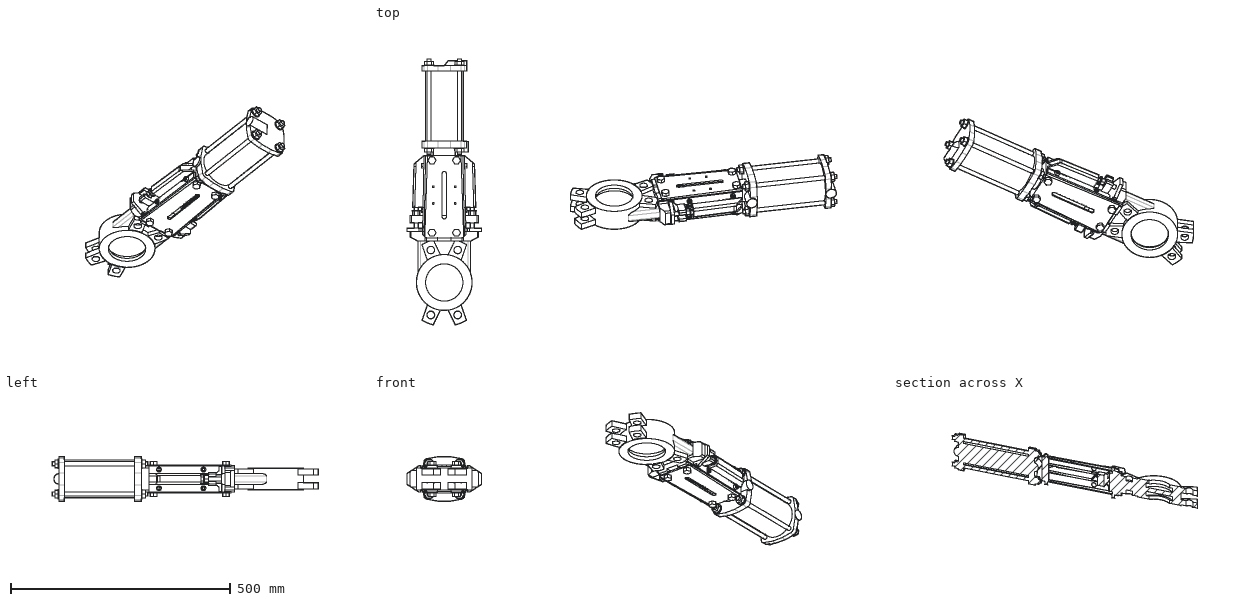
import cadquery as cq
import math


ring_radius = 64.0
ring_half_height = 25.0
bore_diameter = 85
seat_groove_diameter = 94.0
seat_groove_half_height = 16.0
gate_half_thickness = 6.0
lug_end_radius = 100.0
lug_bolt_radius = 80.0
lug_angle = 22.5
lug_inner_half_width = 16.5
lug_outer_half_width = 14.0
lug_outer_z = 23.0
lug_inner_z = 8.5
lug_hole_diameter = 17.0

neck_half_width = 60.0
neck_half_height = 13.0
neck_edge_fillet = 6.0

bonnet_bottom = 94.0
bonnet_top = 116.0
bonnet_half_width = 78.0
bonnet_half_height = 30.5
shoulder_half_height = 19.0
bonnet_chamfer_height = 10.0
flange_top = 124.0
flange_half_width = 85
saddle_half_height = 25.0
gland_bottom = 136.0
gland_top = 153.0
gland_half_height = 15.0
gland_edge_chamfer = 3.5
gland_slot_width = 11.0
gland_slot_end = 57.0
boss_width = 24.0

plate_bottom = 102.0
plate_top = 289.5
plate_outer_z = 32.0
plate_thickness = 3.5
plate_flat_top = 38.0
plate_flat_bottom = 44.0
plate_half_width_top = 46.0
plate_half_width_bottom = 50.0
bend_height = 2.5
skirt_inner_z = 12.0
skirt_bottom = 129.0
skirt_corner_cut = 7.0
plate_corner_cut = 8.0
plate_bolt_x = 28.0
plate_bolt_flats = 16.0
plate_bolt_height = 8.0
upper_bolt_y = 278.5
lower_bolt_y = 113.5
slot_width = 10.0
slot_bottom = 145.0
slot_top = 253.0
pin_hole_diameter = 4.1
pin_hole_x = 25.0
pin_hole_rows = (180.0, 218.5)
yoke_block_height = 17.0
yoke_block_half_width = 38.0

guard_bottom = 171.0
guard_shoulder = 270.0
guard_width_bottom = 72.0
guard_width_top = 69.0
guard_inner = 44.0
guard_thickness = 5.5
guard_edge_chamfer = 5.0
guard_screw_diameter = 11.0
guard_screw_socket = 5.5
guard_screw_socket_depth = 2.5
guard_screw_reach = 52.0
guard_screw_z = 21.0
guard_screw_rows = (165.0, 266.5)

stud_x = 64.0
stud_diameter = 10.0
stud_washer_diameter = 20.0
stud_washer_bottom = 162.5
stud_washer_thickness = 2.0
stud_nut_flats = 14.5

rod_diameter = 20.0
tube_diameter = 87.0
front_cap_bottom = 306.5
front_cap_top = 322.0
rear_cap_bottom = 482.0
rear_cap_top = 494.5
cap_half_width = 51.0
cap_face_half = 14.0
cap_corner_start = 37.5
cap_corner_reach = 47.0
hub_diameter = 51.0
hub_bottom = plate_top
tie_rod_offset = 34.5
tie_rod_diameter = 10.0
tie_rod_bottom = 292.0
tie_nut_flats = 18.0
tie_nut_height = 8.0
tie_washer_diameter = 22.0
tie_washer_thickness = 1.5
port_boss_radius = 12.0
rear_port_reach = 51.5
front_port_reach = 55.0
front_port_y = 309.5
port_boss_slope = 9.0

overall_length = 607.0
lug_corner_angle = lug_angle - math.degrees(math.asin(lug_outer_half_width / lug_end_radius))
lug_tip = lug_end_radius * math.cos(math.radians(lug_corner_angle))
tie_rod_top = overall_length - lug_tip

SIDES = (-1, 1)


def box(x0, x1, y0, y1, z0, z1):
    return cq.Workplane("XY").box(x1 - x0, y1 - y0, z1 - z0, centered=False).translate((x0, y0, z0))


def y_plane(y, x=0, z=0):
    """Workplane at height y along the stroke, extruding towards +Y, with local axes (X, -Z)."""
    return cq.Workplane("XZ", origin=(x, y, z)).transformed(rotate=(180, 0, 0))


def y_cylinder(diameter, y0, y1, x=0, z=0):
    return y_plane(y0, x, z).circle(diameter / 2).extrude(y1 - y0)


def y_hex(flats, y0, y1, x=0, z=0):
    corner_diameter = flats / math.cos(math.pi / 6)
    return y_plane(y0, x, z).polygon(6, corner_diameter).extrude(y1 - y0)


def port_disc(diameter, half_height):
    return cq.Workplane("XY").circle(diameter / 2).extrude(half_height, both=True)


def quadrant_mirrored(points):
    """Close an outline in all four quadrants from its +X +Z points, listed from +X round to +Z."""
    upper = points + [(-x, z) for x, z in reversed(points)]
    return upper + [(-x, -z) for x, z in upper]


def lug(angle):
    """Pair of tapered lugs pointing along +Y, then turned about Z."""
    inner = ring_radius - 6
    end_y = math.sqrt(lug_end_radius ** 2 - lug_outer_half_width ** 2)
    pair = cq.Workplane("XY")
    for bottom in (lug_inner_z, -lug_outer_z):
        blade = (
            cq.Workplane("XY", origin=(0, 0, bottom))
            .moveTo(-lug_inner_half_width, inner)
            .lineTo(-lug_outer_half_width, end_y)
            .threePointArc((0, lug_end_radius), (lug_outer_half_width, end_y))
            .lineTo(lug_inner_half_width, inner)
            .close()
            .extrude(lug_outer_z - lug_inner_z)
        )
        hole = (
            cq.Workplane("XY", origin=(0, lug_bolt_radius, bottom))
            .circle(lug_hole_diameter / 2)
            .extrude(lug_outer_z - lug_inner_z)
        )
        pair = pair.add(blade.cut(hole))
    return pair.combine().rotate((0, 0, 0), (0, 0, 1), angle)


def valve_ring():
    ring = port_disc(2 * ring_radius, ring_half_height)
    neck = box(
        -neck_half_width, neck_half_width, 0, bonnet_bottom, -neck_half_height, neck_half_height
    ).edges("|Y").fillet(neck_edge_fillet)
    body = ring.union(neck)
    bore = port_disc(bore_diameter, ring_half_height)
    seat_groove = port_disc(seat_groove_diameter, seat_groove_half_height)
    gate = port_disc(seat_groove_diameter, gate_half_thickness)
    for angle in (lug_angle, -lug_angle, 180 - lug_angle, 180 + lug_angle):
        body = body.union(lug(angle))
    return body.cut(bore).cut(seat_groove).union(gate)


def bonnet():
    shoulder_x = 75.0
    side_half_height = 14.5
    outline = quadrant_mirrored([
        (bonnet_half_width, side_half_height),
        (shoulder_x, shoulder_half_height),
        (plate_flat_bottom, shoulder_half_height),
        (plate_flat_bottom, saddle_half_height),
    ])
    body = y_plane(bonnet_bottom).polyline(outline).close().extrude(bonnet_top - bonnet_bottom)
    for side in SIDES:
        corner = (
            cq.Workplane("XY", origin=(0, 0, -bonnet_half_height))
            .moveTo(side * neck_half_width, bonnet_bottom)
            .lineTo(side * bonnet_half_width, bonnet_bottom + bonnet_chamfer_height)
            .lineTo(side * bonnet_half_width, bonnet_bottom)
            .close()
            .extrude(2 * bonnet_half_height)
        )
        body = body.cut(corner)
        boss_x = side * plate_bolt_x
        boss = box(
            boss_x - boss_width / 2, boss_x + boss_width / 2,
            bonnet_bottom, bonnet_top, -bonnet_half_height, bonnet_half_height,
        )
        body = body.union(boss)
    return body


def bonnet_flange():
    side_half_height = 13.0
    shoulder_x = 57.5
    inner_x = 53.5
    outline = quadrant_mirrored([
        (flange_half_width, side_half_height),
        (shoulder_x, bonnet_half_height),
        (inner_x, bonnet_half_height),
        (inner_x, saddle_half_height),
    ])
    return y_plane(bonnet_top).polyline(outline).close().extrude(flange_top - bonnet_top)


def gland():
    follower = box(
        -bonnet_half_width, bonnet_half_width, gland_bottom, gland_top, -gland_half_height, gland_half_height
    )
    follower = follower.edges("|Y").chamfer(gland_edge_chamfer)
    slot_half_width = gland_slot_width / 2
    slot = box(
        gland_slot_end, bonnet_half_width, gland_bottom, gland_top, -slot_half_width, slot_half_width
    )
    return follower.cut(slot).cut(slot.mirror("YZ"))


def gland_studs():
    studs = cq.Workplane("XY")
    washer_top = stud_washer_bottom + stud_washer_thickness
    for side in SIDES:
        x = side * stud_x
        studs = studs.union(y_cylinder(stud_diameter, bonnet_top, guard_bottom, x))
        studs = studs.union(y_hex(stud_nut_flats, gland_top, stud_washer_bottom, x))
        studs = studs.union(y_cylinder(stud_washer_diameter, stud_washer_bottom, washer_top, x))
    return studs


def channel_outline(flat, half_width, depth):
    """Outline of a bent plate, inset by depth, with its open side towards the gate."""
    top = plate_outer_z - depth
    bend = plate_outer_z - bend_height
    return [
        (-half_width + depth, skirt_inner_z),
        (-half_width + depth, bend),
        (-flat, top),
        (flat, top),
        (half_width - depth, bend),
        (half_width - depth, skirt_inner_z),
    ]


def channel(depth):
    """Solid prism that widens from the top of the yoke to its bottom, inset by depth."""
    bottom = channel_outline(plate_flat_bottom, plate_half_width_bottom, depth)
    top = channel_outline(plate_flat_top, plate_half_width_top, depth)
    return (
        cq.Workplane("XZ", origin=(0, plate_bottom, 0))
        .polyline(bottom).close()
        .workplane(offset=plate_bottom - plate_top)
        .polyline(top).close()
        .loft(ruled=True)
    )


def yoke_plate():
    """Upper yoke plate with its side skirts, slot, bolts and guard screws."""
    plate_inner_z = plate_outer_z - plate_thickness
    reach = plate_half_width_bottom + 6
    plate = channel(0).cut(channel(plate_thickness))
    plate = plate.cut(box(-reach, reach, plate_bottom, skirt_bottom, 0, plate_inner_z))
    skirt_corner = (
        cq.Workplane("YZ", origin=(-reach, 0, 0))
        .moveTo(skirt_bottom, skirt_inner_z)
        .lineTo(skirt_bottom + skirt_corner_cut, skirt_inner_z)
        .lineTo(skirt_bottom, skirt_inner_z + skirt_corner_cut)
        .close()
        .extrude(2 * reach)
    )
    plate = plate.cut(skirt_corner)
    for side in SIDES:
        corner = (
            cq.Workplane("XY")
            .moveTo(side * (plate_half_width_bottom - plate_corner_cut), plate_bottom)
            .lineTo(side * plate_half_width_bottom, plate_bottom + plate_corner_cut)
            .lineTo(side * plate_half_width_bottom, plate_bottom)
            .close()
            .extrude(plate_outer_z)
        )
        plate = plate.cut(corner)
    slot = (
        cq.Workplane("XY", origin=(0, (slot_bottom + slot_top) / 2, plate_inner_z))
        .slot2D(slot_top - slot_bottom, slot_width, 90)
        .extrude(plate_thickness)
    )
    bolts = (
        cq.Workplane("XY", origin=(0, 0, plate_outer_z))
        .pushPoints([(side * plate_bolt_x, y) for side in SIDES for y in (lower_bolt_y, upper_bolt_y)])
        .polygon(6, plate_bolt_flats / math.cos(math.pi / 6))
        .extrude(plate_bolt_height)
    )
    screw_points = [(y, guard_screw_z) for y in guard_screw_rows]
    screw_heads = cq.Workplane("YZ", origin=(-guard_screw_reach, 0, 0)).pushPoints(screw_points)
    sockets = screw_heads.circle(guard_screw_socket / 2).extrude(guard_screw_socket_depth)
    screws = (
        screw_heads.circle(guard_screw_diameter / 2)
        .extrude(guard_screw_reach - guard_inner)
        .cut(sockets)
    )
    plate = plate.cut(slot).union(bolts)
    return plate.union(screws).union(screws.mirror("YZ"))


def pin_holes():
    """Pin holes through the upper yoke plate."""
    return (
        cq.Workplane("XY", origin=(0, 0, plate_outer_z - plate_thickness))
        .pushPoints([(side * pin_hole_x, y) for side in SIDES for y in pin_hole_rows])
        .circle(pin_hole_diameter / 2)
        .extrude(plate_thickness)
    )


def yoke_block():
    half_height = plate_outer_z - plate_thickness
    return box(
        -yoke_block_half_width, yoke_block_half_width,
        plate_top - yoke_block_height, plate_top, -half_height, half_height,
    )


def guard():
    """Left side guard: a tapered channel, open at both ends and inwards, with bevelled outer edges."""
    taper = (guard_width_bottom - guard_width_top) / (guard_shoulder - guard_bottom)
    width_at_top = guard_width_top - taper * (plate_top - guard_shoulder)
    bar = (
        cq.Workplane("XY", origin=(0, 0, -skirt_inner_z))
        .moveTo(-guard_inner, guard_bottom)
        .lineTo(-guard_width_bottom, guard_bottom)
        .lineTo(-width_at_top, plate_top)
        .lineTo(-guard_inner, plate_top)
        .close()
        .extrude(2 * skirt_inner_z)
    )
    bar = bar.faces("<X").edges("<Z or >Z").chamfer(guard_edge_chamfer)
    corner = (
        cq.Workplane("XY", origin=(0, 0, -skirt_inner_z))
        .moveTo(-plate_half_width_top, plate_top)
        .lineTo(-guard_width_top, guard_shoulder)
        .lineTo(-guard_width_bottom, guard_shoulder)
        .lineTo(-guard_width_bottom, plate_top)
        .close()
        .extrude(2 * skirt_inner_z)
    )
    cavity_half_height = skirt_inner_z - guard_thickness
    cavity = (
        cq.Workplane("XY", origin=(0, 0, -cavity_half_height))
        .moveTo(-guard_inner, guard_bottom)
        .lineTo(-guard_width_bottom + guard_thickness, guard_bottom)
        .lineTo(-guard_width_top + guard_thickness, guard_shoulder - guard_thickness)
        .lineTo(-guard_width_top, guard_shoulder - guard_thickness)
        .lineTo(-guard_width_top, plate_top)
        .lineTo(-guard_inner, plate_top)
        .close()
        .extrude(2 * cavity_half_height)
    )
    return bar.cut(corner).cut(cavity)


def cap(bottom, top):
    """Cylinder end cap: four shallow-crowned sides with rounded corners."""
    start = cap_corner_start
    reach = cap_corner_reach
    corner_mid = start + (reach - start) / math.sqrt(2)

    def turned(x, z, quarter_turns):
        for _ in range(quarter_turns):
            x, z = z, -x
        return (x, z)

    outline = y_plane(bottom).moveTo(-cap_face_half, cap_half_width)
    for side in range(4):
        outline = (
            outline.lineTo(*turned(cap_face_half, cap_half_width, side))
            .lineTo(*turned(start, reach, side))
            .threePointArc(turned(corner_mid, corner_mid, side), turned(reach, start, side))
        )
        if side < 3:
            outline = outline.lineTo(*turned(cap_half_width, cap_face_half, side))
    return outline.close().extrude(top - bottom)


def port_boss(y, reach, outward):
    """Round port boss along +X, its inner end sloping away from the cap."""
    boss = cq.Workplane("YZ", origin=(0, y, 0)).circle(port_boss_radius).extrude(reach)
    slope = (
        cq.Workplane("XY", origin=(0, y, -port_boss_radius))
        .lineTo(0, outward * port_boss_radius)
        .lineTo(port_boss_slope, outward * port_boss_radius)
        .close()
        .extrude(2 * port_boss_radius)
    )
    return boss.cut(slope)


def tie_rod(x, z):
    rod = y_cylinder(tie_rod_diameter, tie_rod_bottom, tie_rod_top, x, z)
    for face, outward in ((front_cap_bottom, -1), (rear_cap_top, 1)):
        washer_end = face + outward * tie_washer_thickness
        nut_end = washer_end + outward * tie_nut_height
        rod = rod.union(y_cylinder(tie_washer_diameter, min(face, washer_end), max(face, washer_end), x, z))
        rod = rod.union(y_hex(tie_nut_flats, min(washer_end, nut_end), max(washer_end, nut_end), x, z))
    return rod


def actuator():
    body = y_cylinder(tube_diameter, front_cap_bottom, rear_cap_top)
    body = body.union(cap(front_cap_bottom, front_cap_top))
    body = body.union(cap(rear_cap_bottom, rear_cap_top))
    body = body.union(y_cylinder(hub_diameter, hub_bottom, front_cap_bottom))
    body = body.union(port_boss(rear_cap_bottom + port_boss_radius, rear_port_reach, 1))
    body = body.union(port_boss(front_port_y, front_port_reach, -1))
    for side_x in SIDES:
        for side_z in SIDES:
            body = body.union(tie_rod(side_x * tie_rod_offset, side_z * tie_rod_offset))
    return body


upper_plate = yoke_plate()
left_guard = guard()
piston_rod = y_cylinder(rod_diameter, bonnet_bottom, hub_bottom)

result = valve_ring()
for part in (
    bonnet(),
    bonnet_flange(),
    piston_rod,
    gland(),
    gland_studs(),
    upper_plate.cut(pin_holes()),
    upper_plate.mirror("XY"),
    yoke_block(),
    left_guard,
    left_guard.mirror("YZ"),
    actuator(),
):
    result = result.union(part)